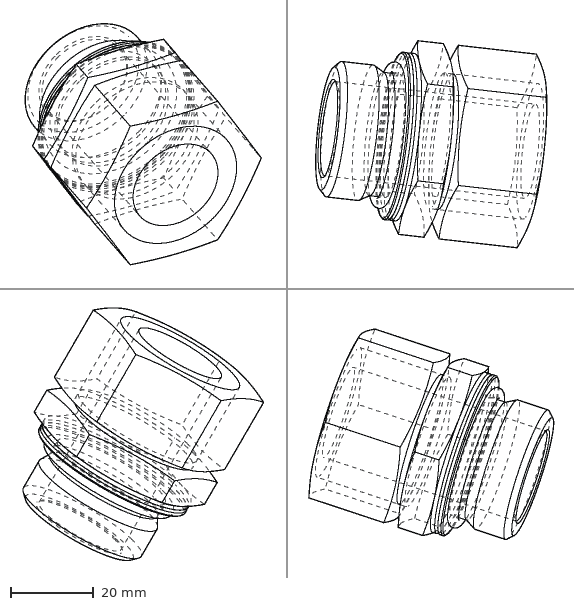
import cadquery as cq
import math

TOTAL_LENGTH = 50
ACROSS_FLATS = 41
FLAT_RADIUS = ACROSS_FLATS / 2
CORNER_RADIUS = FLAT_RADIUS / math.cos(math.pi / 6)
HEX_CHAMFER_ANGLE = math.radians(15)
HEX_CHAMFER_LENGTH = (CORNER_RADIUS - FLAT_RADIUS) * math.tan(HEX_CHAMFER_ANGLE)

BORE_RADIUS = 11.5
BORE_CHAMFER = 0.5

THREAD_RADIUS = 16.55
THREAD_CHAMFER = 1.5
THREAD_END_X = 9.35
UNDERCUT_RADIUS = THREAD_RADIUS - THREAD_CHAMFER
UNDERCUT_START_X = 12

FLANGE_START_X = 15.9
FLANGE_RADIUS = 20.45
FLANGE_CHAMFER = 0.35
GROOVE_X = 17.5
GROOVE_RADIUS = 0.4

HEX_START_X = 19
HEX_END_X = 27
NUT_START_X = 29
NECK_RADIUS = THREAD_RADIUS

RING_SECTION_DIAMETER = 2.65
RING_SECTION_RADIUS = RING_SECTION_DIAMETER / 2
RING_OUTER_RADIUS = 17.85


def revolve_about_x(profile):
    """Turn a closed (x, radius) profile around the X axis."""
    return profile.close().revolve(360, (0, 0, 0), (1, 0, 0))


def cylinder(start_x, end_x, radius):
    return cq.Workplane("YZ", origin=(start_x, 0, 0)).circle(radius).extrude(end_x - start_x)


def chamfered_hexagon(start_x, end_x):
    """Hexagonal prism along X with flats facing +Z and -Z and its corners turned off at both ends."""
    prism = (
        cq.Workplane("YZ", origin=(start_x, 0, 0))
        .polygon(6, 2 * CORNER_RADIUS)
        .extrude(end_x - start_x)
    )
    envelope = revolve_about_x(
        cq.Workplane("XY")
        .moveTo(start_x, 0)
        .lineTo(start_x, FLAT_RADIUS)
        .lineTo(start_x + HEX_CHAMFER_LENGTH, CORNER_RADIUS)
        .lineTo(end_x - HEX_CHAMFER_LENGTH, CORNER_RADIUS)
        .lineTo(end_x, FLAT_RADIUS)
        .lineTo(end_x, 0)
    )
    return prism.intersect(envelope)


def make_fitting():
    """Spigot, undercut, flange, hexagon and neck in one piece, bored right through."""
    front = revolve_about_x(
        cq.Workplane("XY")
        .moveTo(0, 0)
        .lineTo(0, THREAD_RADIUS - THREAD_CHAMFER)
        .lineTo(THREAD_CHAMFER, THREAD_RADIUS)
        .lineTo(THREAD_END_X, THREAD_RADIUS)
        .lineTo(UNDERCUT_START_X, UNDERCUT_RADIUS)
        .lineTo(FLANGE_START_X, UNDERCUT_RADIUS)
        .lineTo(FLANGE_START_X, FLANGE_RADIUS - FLANGE_CHAMFER)
        .lineTo(FLANGE_START_X + FLANGE_CHAMFER, FLANGE_RADIUS)
        .lineTo(GROOVE_X - GROOVE_RADIUS, FLANGE_RADIUS)
        .threePointArc(
            (GROOVE_X, FLANGE_RADIUS - GROOVE_RADIUS),
            (GROOVE_X + GROOVE_RADIUS, FLANGE_RADIUS),
        )
        .lineTo(HEX_START_X, FLANGE_RADIUS)
        .lineTo(HEX_START_X, 0)
    )
    hexagon = chamfered_hexagon(HEX_START_X, HEX_END_X)
    neck = cylinder(HEX_END_X, TOTAL_LENGTH, NECK_RADIUS)
    bore = revolve_about_x(
        cq.Workplane("XY")
        .moveTo(0, 0)
        .lineTo(0, BORE_RADIUS + BORE_CHAMFER)
        .lineTo(BORE_CHAMFER, BORE_RADIUS)
        .lineTo(TOTAL_LENGTH, BORE_RADIUS)
        .lineTo(TOTAL_LENGTH, 0)
    )
    return front.union(hexagon).union(neck).cut(bore)


def make_o_ring():
    """Round-section ring in the undercut, touching the flange face."""
    centre_x = FLANGE_START_X - RING_SECTION_RADIUS
    centre_radius = RING_OUTER_RADIUS - RING_SECTION_RADIUS
    return (
        cq.Workplane("XY")
        .center(centre_x, centre_radius)
        .circle(RING_SECTION_RADIUS)
        .revolve(360, (0, -centre_radius, 0), (1, -centre_radius, 0))
    )


def make_nut():
    """Chamfered hexagonal nut fitted around the neck, flush with its end."""
    return chamfered_hexagon(NUT_START_X, TOTAL_LENGTH).cut(cylinder(NUT_START_X, TOTAL_LENGTH, NECK_RADIUS))


fitting = make_fitting()
o_ring = make_o_ring()
nut = make_nut()

result = cq.Compound.makeCompound([fitting.val(), o_ring.val(), nut.val()])